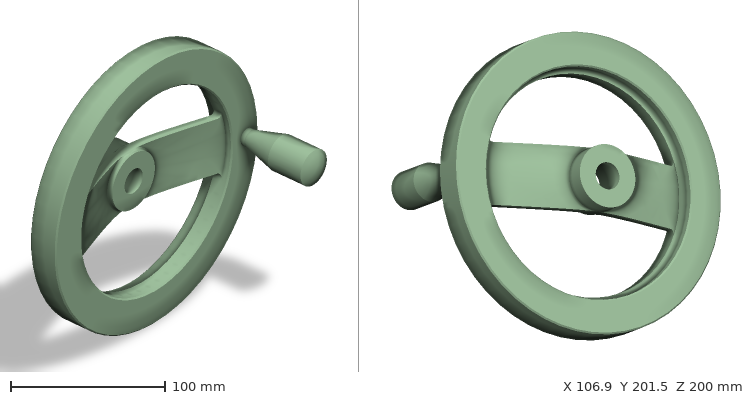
import cadquery as cq
import math

rim_diameter = 200.0
rim_front = 23.2
rim_width = 22.2
rim_back = rim_front + rim_width
rim_chamfer = 1.0
recess_diameter = 154.2
bore_diameter = 148.0
recess_depth = 6.7
rim_radius = rim_diameter / 2
recess_radius = recess_diameter / 2
bore_radius = bore_diameter / 2
recess_fillet = recess_radius - bore_radius

hub_diameter = 42.0
hub_radius = hub_diameter / 2
shaft_hole_diameter = 18.0
hub_front_length = 13.3
hub_back_end = 25.2
hub_fillet = 1.5

web_angle = math.radians(20)
web_root_front = hub_front_length + hub_fillet
web_root_thickness = 7.0
web_end_thickness = 6.2
spoke_corner_radius = 3.0

handle_diameter = 26.0
handle_radius = handle_diameter / 2
neck_radius = 12.5 / 2
neck_length = 3.5
taper_length = 26.0
grip_length = 27.8
dome_height = 4.2
overall_height = 201.5
handle_axis_y = overall_height - rim_radius - handle_radius


def revolve_about_x(profile):
    return profile.close().revolve(360, (0, 0, 0), (1, 0, 0))


def make_rim():
    corner_x = rim_front + recess_depth
    arc_offset = recess_fillet * math.sqrt(0.5)
    return revolve_about_x(
        cq.Workplane("XY")
        .moveTo(rim_front, recess_radius + rim_chamfer)
        .lineTo(rim_front, rim_radius - rim_chamfer)
        .lineTo(rim_front + rim_chamfer, rim_radius)
        .lineTo(rim_back - rim_chamfer, rim_radius)
        .lineTo(rim_back, rim_radius - rim_chamfer)
        .lineTo(rim_back, bore_radius + rim_chamfer)
        .lineTo(rim_back - rim_chamfer, bore_radius)
        .lineTo(corner_x + recess_fillet, bore_radius)
        .threePointArc(
            (corner_x + arc_offset, bore_radius + arc_offset),
            (corner_x, recess_radius),
        )
        .lineTo(rim_front + rim_chamfer, recess_radius)
    )


def make_web():
    root_radius = hub_radius + hub_fillet
    end_radius = bore_radius + recess_fillet
    end_front = web_root_front + (end_radius - root_radius) * math.tan(web_angle)
    root_back = web_root_front + web_root_thickness
    arc_offset = hub_fillet * (1 - math.sqrt(0.5))
    disc = revolve_about_x(
        cq.Workplane("XY")
        .moveTo(hub_front_length, 0)
        .lineTo(hub_front_length, hub_radius)
        .threePointArc(
            (web_root_front - arc_offset, hub_radius + arc_offset),
            (web_root_front, root_radius),
        )
        .lineTo(end_front, end_radius)
        .lineTo(end_front + web_end_thickness, end_radius)
        .lineTo(root_back, root_radius)
        .threePointArc(
            (root_back + arc_offset, hub_radius + arc_offset),
            (root_back + hub_fillet, hub_radius),
        )
        .lineTo(root_back + hub_fillet, 0)
    )
    return disc.cut(make_window(1)).cut(make_window(-1))


def make_window(side):
    """Opening between the spoke and the bore, above (1) or below (-1) the axis."""
    half_bar = cq.Workplane("XY").box(
        rim_back, rim_diameter, rim_diameter, centered=(False, True, False)
    ).translate((0, 0, hub_radius))
    opening = cq.Workplane("YZ").circle(bore_radius).extrude(rim_back).intersect(half_bar)
    opening = opening.edges("|X").fillet(spoke_corner_radius)
    if side < 0:
        opening = opening.mirror("XY")
    return opening


def make_hub():
    return cq.Workplane("YZ").circle(hub_radius).extrude(hub_back_end)


def make_handle():
    taper_start = rim_back + neck_length
    grip_start = taper_start + taper_length
    grip_end = grip_start + grip_length
    tip = grip_end + dome_height
    dome_radius = (handle_radius**2 + dome_height**2) / (2 * dome_height)
    mid_y = handle_radius / 2
    mid_x = tip - dome_radius + math.sqrt(dome_radius**2 - mid_y**2)
    handle = revolve_about_x(
        cq.Workplane("XY")
        .moveTo(rim_back - rim_chamfer, 0)
        .lineTo(rim_back - rim_chamfer, neck_radius)
        .lineTo(taper_start, neck_radius)
        .lineTo(grip_start, handle_radius)
        .lineTo(grip_end, handle_radius)
        .threePointArc((mid_x, mid_y), (tip, 0))
    )
    return handle.translate((0, handle_axis_y, 0))


wheel = make_rim().union(make_web()).union(make_hub())
shaft_hole = cq.Workplane("YZ").circle(shaft_hole_diameter / 2).extrude(rim_back)
result = wheel.cut(shaft_hole).union(make_handle())